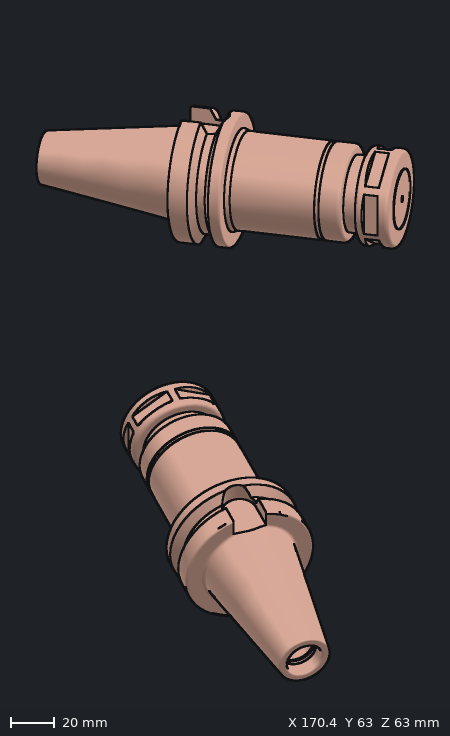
import cadquery as cq
import math


total_length = 170.4
flange_radius = 31.5

taper_large_radius = 22.2
taper_length = 65.5
taper_slope = 7 / 48
taper_small_radius = taper_large_radius - taper_length * taper_slope
shank_fillet = 0.9

flange_start = 67.5
flange_end = 92.5
flange_fillet = 1.0
shank_root_fillet = 1.7
groove_center = 82.0
groove_bottom_radius = 26.4
groove_bottom_half_width = 2.0
groove_half_angle = math.radians(30)
groove_depth = flange_radius - groove_bottom_radius
groove_top_half_width = groove_bottom_half_width + groove_depth * math.tan(groove_half_angle)

slot_width = 16.0
slot_floor_height = 22.5
slot_end = 88.3

body_radius = 23.0
body_end = 147.4
body_end_fillet = 2.0
body_root_radius = 24.0
body_root_length = 2.4
ring_groove_start = 135.0
ring_groove_end = 137.0
ring_groove_depth = 0.25
neck_radius = 36.0 / 2

nut_start = 153.9
nut_end = 170.0
nut_radius = 23.2
nut_rear_fillet = 2.2
nut_front_fillet = 1.9
nose_radius = 28.0 / 2

pocket_count = 6
pocket_center = 161.4
pocket_floor_height = 21.0
pocket_floor_length = 6.5
pocket_top_length = 7.7

pilot_radius = 8.5
pilot_depth = 7.3
bore_mouth_fillet = 1.0
relief_radius = 8.3
relief_depth = 9.2
thread_start = 9.9
thread_radius = 8.0
thread_depth = 30.7
recess_radius = 9.0 / 2
recess_depth = 1.7
coolant_radius = 1.28


def revolve_about_x(profile):
    return profile.close().revolve(360, (0, 0, 0), (1, 0, 0))


def make_holder():
    """Shank, flange, body, neck and nut as one turned shape."""
    arc_mid = math.sqrt(0.5)
    root_arc_x = flange_start - shank_root_fillet * (1 - arc_mid)
    root_arc_radius = taper_large_radius + shank_root_fillet * (1 - arc_mid)
    profile = (
        cq.Workplane("XY")
        .lineTo(0, taper_small_radius - shank_fillet)
        .radiusArc((shank_fillet, taper_small_radius), shank_fillet)
        .lineTo(taper_length, taper_large_radius)
        .lineTo(flange_start - shank_root_fillet, taper_large_radius)
        .threePointArc(
            (root_arc_x, root_arc_radius),
            (flange_start, taper_large_radius + shank_root_fillet),
        )
        .lineTo(flange_start, flange_radius - flange_fillet)
        .radiusArc((flange_start + flange_fillet, flange_radius), flange_fillet)
        .lineTo(groove_center - groove_top_half_width, flange_radius)
        .lineTo(groove_center - groove_bottom_half_width, groove_bottom_radius)
        .lineTo(groove_center + groove_bottom_half_width, groove_bottom_radius)
        .lineTo(groove_center + groove_top_half_width, flange_radius)
        .lineTo(flange_end - flange_fillet, flange_radius)
        .radiusArc((flange_end, flange_radius - flange_fillet), flange_fillet)
        .lineTo(flange_end, body_root_radius)
        .lineTo(flange_end + body_root_length, body_radius)
        .lineTo(ring_groove_start, body_radius)
        .lineTo(ring_groove_start, body_radius - ring_groove_depth)
        .lineTo(ring_groove_end, body_radius - ring_groove_depth)
        .lineTo(ring_groove_end, body_radius)
        .lineTo(body_end - body_end_fillet, body_radius)
        .radiusArc((body_end, body_radius - body_end_fillet), body_end_fillet)
        .lineTo(body_end, neck_radius)
        .lineTo(nut_start, neck_radius)
        .lineTo(nut_start, nut_radius - nut_rear_fillet)
        .radiusArc((nut_start + nut_rear_fillet, nut_radius), nut_rear_fillet)
        .lineTo(nut_end - nut_front_fillet, nut_radius)
        .radiusArc((nut_end, nut_radius - nut_front_fillet), nut_front_fillet)
        .lineTo(nut_end, nose_radius)
        .lineTo(total_length, nose_radius)
        .lineTo(total_length, 0)
    )
    return revolve_about_x(profile)


def make_bore():
    """Stepped drawbar bore from the shank end and the coolant hole through the part."""
    recess_end = thread_depth + recess_depth
    profile = (
        cq.Workplane("XY")
        .lineTo(0, pilot_radius + bore_mouth_fillet)
        .radiusArc((bore_mouth_fillet, pilot_radius), -bore_mouth_fillet)
        .lineTo(pilot_depth, pilot_radius)
        .lineTo(pilot_depth, relief_radius)
        .lineTo(relief_depth, relief_radius)
        .lineTo(thread_start, thread_radius)
        .lineTo(thread_depth, thread_radius)
        .lineTo(thread_depth, recess_radius)
        .lineTo(recess_end, recess_radius)
        .lineTo(recess_end, coolant_radius)
        .lineTo(total_length, coolant_radius)
        .lineTo(total_length, 0)
    )
    return revolve_about_x(profile)


def make_drive_slot():
    """Cutter for the +Z slot: open at the flange face, round at the far end."""
    half_width = slot_width / 2
    arc_center = slot_end - half_width
    return (
        cq.Workplane("XY", origin=(0, 0, slot_floor_height))
        .moveTo(taper_length, -half_width)
        .lineTo(arc_center, -half_width)
        .threePointArc((slot_end, 0), (arc_center, half_width))
        .lineTo(taper_length, half_width)
        .close()
        .extrude(flange_radius - slot_floor_height)
    )


def make_spanner_pocket():
    """Cutter for the +Y pocket: flat floor, end walls flaring outwards."""
    floor_half = pocket_floor_length / 2
    top_half = pocket_top_length / 2
    return (
        cq.Workplane("XY")
        .polyline([
            (pocket_center - floor_half, pocket_floor_height),
            (pocket_center + floor_half, pocket_floor_height),
            (pocket_center + top_half, nut_radius),
            (pocket_center - top_half, nut_radius),
        ])
        .close()
        .extrude(nut_radius, both=True)
    )


result = make_holder().cut(make_bore())

drive_slot = make_drive_slot()
for angle in (0, 180):
    result = result.cut(drive_slot.rotate((0, 0, 0), (1, 0, 0), angle))

spanner_pocket = make_spanner_pocket()
for index in range(pocket_count):
    angle = index * 360 / pocket_count
    result = result.cut(spanner_pocket.rotate((0, 0, 0), (1, 0, 0), angle))